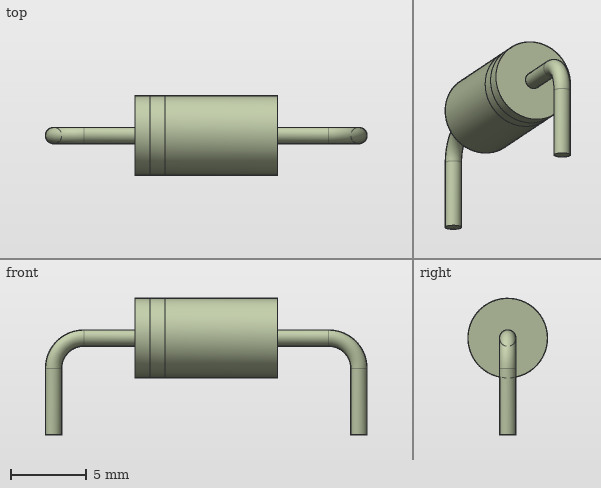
import cadquery as cq

OVERALL_LENGTH = 21.4
BODY_DIAMETER = 5.3
BODY_LENGTH = 9.5
END_CAP_LENGTH = 1.0
BAND_LENGTH = 1.0
LEAD_DIAMETER = 1.1
BEND_RADIUS = 2.0
OVERALL_HEIGHT = 9.1

BODY_END = BODY_LENGTH / 2
BAND_START = -BODY_END + END_CAP_LENGTH
BAND_END = BAND_START + BAND_LENGTH
LEAD_X = (OVERALL_LENGTH - LEAD_DIAMETER) / 2
LEAD_BOTTOM = BODY_DIAMETER / 2 - OVERALL_HEIGHT


def body_section(start, end):
    """Solid cylinder of the full body diameter between two X positions."""
    return (
        cq.Workplane("YZ", origin=(start, 0, 0))
        .circle(BODY_DIAMETER / 2)
        .extrude(end - start)
    )


def bent_lead(side):
    """Round wire from a body end face, bent down; side is -1 or +1 along X."""
    path = (
        cq.Workplane("XZ")
        .moveTo(side * BODY_END, 0)
        .lineTo(side * (LEAD_X - BEND_RADIUS), 0)
        .tangentArcPoint((side * LEAD_X, -BEND_RADIUS), relative=False)
        .lineTo(side * LEAD_X, LEAD_BOTTOM)
    )
    return (
        cq.Workplane("YZ", origin=(side * BODY_END, 0, 0))
        .circle(LEAD_DIAMETER / 2)
        .sweep(path)
    )


end_cap = body_section(-BODY_END, BAND_START)
polarity_band = body_section(BAND_START, BAND_END)
main_body = body_section(BAND_END, BODY_END)
leads = [bent_lead(side) for side in (-1, 1)]

result = cq.Compound.makeCompound([
    end_cap.val(),
    polarity_band.val(),
    main_body.val(),
    *[lead.val() for lead in leads],
])